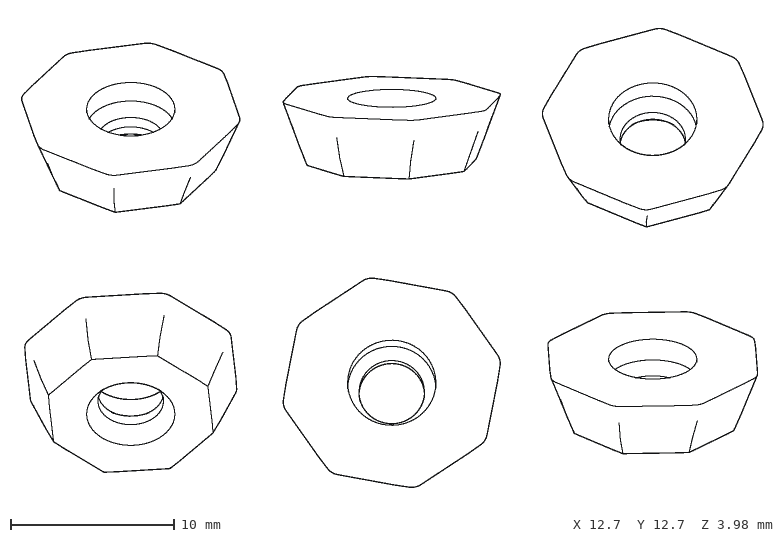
import cadquery as cq
import math

width = 12.7
thickness = 3.98
side_count = 8
relief_angle = 20.0
corner_radius = 1.0

facet_start = 1.32
facet_angle = 2.0

head_diameter = 5.4
bore_diameter = 4.0
seat_start_depth = 1.42
seat_end_depth = 2.16
flare_start_depth = 2.88
exit_diameter = head_diameter

apothem = width / 2
side_angle = 360 / side_count
relief_slope = math.tan(math.radians(relief_angle))


def rotated(point, degrees):
    """Turn a point about the insert's centre."""
    turn = math.radians(degrees)
    x, y = point
    return (
        x * math.cos(turn) - y * math.sin(turn),
        x * math.sin(turn) + y * math.cos(turn),
    )


def side_points(inset):
    """Facet start and end corner of the front side, moved inward by inset."""
    edge = apothem - inset
    start_x = facet_start - inset * math.tan(math.radians(facet_angle / 2))
    slope = math.tan(math.radians(facet_angle))
    turn = math.radians(side_angle)
    corner_x = (edge - edge * math.cos(turn) - slope * start_x * math.cos(turn)) / (
        math.sin(turn) - slope * math.cos(turn)
    )
    corner_y = -edge + slope * (corner_x - start_x)
    return (start_x, -edge), (corner_x, corner_y)


def outline(inset):
    """All facet starts and corners, counterclockwise."""
    return [
        rotated(point, i * side_angle)
        for i in range(side_count)
        for point in side_points(inset)
    ]


def make_body():
    """Sharp-cornered frustum, wide at the top face (z = 0)."""
    return (
        cq.Workplane("XY", origin=(0, 0, -thickness))
        .polyline(outline(thickness * relief_slope))
        .close()
        .workplane(offset=thickness)
        .polyline(outline(0))
        .close()
        .loft(ruled=True)
    )


def make_corner_cutter():
    """Corner waste outside a cone that tapers to a point down the corner."""
    center_x, center_y = side_points(corner_radius)[1]
    corner = side_points(0)[1]
    cone_depth = corner_radius / relief_slope
    facet_normal = rotated((0, -1), facet_angle)
    main_normal = rotated((0, -1), side_angle)
    tangents = [
        (center_x + corner_radius * nx, center_y + corner_radius * ny)
        for nx, ny in (facet_normal, main_normal)
    ]
    waste = (
        cq.Workplane("XY")
        .polyline([(center_x, center_y), tangents[0], corner, tangents[1]])
        .close()
        .extrude(-cone_depth)
    )
    cone = cq.Solid.makeCone(
        0, corner_radius, cone_depth, cq.Vector(center_x, center_y, -cone_depth), cq.Vector(0, 0, 1)
    )
    return waste.cut(cq.Workplane(cone))


def make_hole():
    """Screw hole with a head recess, conical seat and flared exit."""
    head_radius = head_diameter / 2
    bore_radius = bore_diameter / 2
    exit_radius = exit_diameter / 2
    profile = [
        (0, 0),
        (head_radius, 0),
        (head_radius, -seat_start_depth),
        (bore_radius, -seat_end_depth),
        (bore_radius, -flare_start_depth),
        (exit_radius, -thickness),
        (0, -thickness),
    ]
    return cq.Workplane("XZ").polyline(profile).close().revolve(360, (0, 0), (0, 1))


body = make_body()
corner_cutter = make_corner_cutter()
for i in range(side_count):
    body = body.cut(corner_cutter.rotate((0, 0, 0), (0, 0, 1), i * side_angle))

result = body.cut(make_hole()).translate((0, 0, thickness))